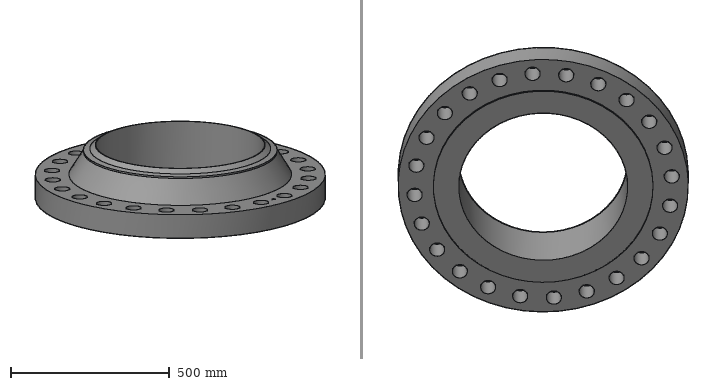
import cadquery as cq
import math

flange_diameter = 914.0
flange_thickness = 78.0
face_diameter = 692.0
face_height = 6.0

overall_height = 181.0
hub_base_diameter = 702.0
rim_diameter = 611.0
rim_bottom_height = 159.0
rim_height = 5.5
bevel_base_diameter = 570.0
bevel_base_height = 168.0
bore_diameter = 532.0
land_width = 2.0

bolt_count = 24
bolt_circle_diameter = 813.0
bolt_hole_diameter = 47.5

pin_hole_diameter = 11.0
pin_hole_depth = 18.0

flange_top = face_height + flange_thickness
bolt_pitch = 360 / bolt_count


def radial_outline():
    """Ring cross-section in the XZ plane, X being the radius."""
    bore_radius = bore_diameter / 2
    points = [
        (bore_radius, 0),
        (face_diameter / 2, 0),
        (face_diameter / 2, face_height),
        (flange_diameter / 2, face_height),
        (flange_diameter / 2, flange_top),
        (hub_base_diameter / 2, flange_top),
        (rim_diameter / 2, rim_bottom_height),
        (rim_diameter / 2, rim_bottom_height + rim_height),
        (bevel_base_diameter / 2, bevel_base_height),
        (bore_radius + land_width, overall_height),
        (bore_radius, overall_height),
    ]
    return cq.Workplane("XZ").polyline(points).close()


def bolt_hole_cutters():
    return (
        cq.Workplane("XY")
        .polarArray(bolt_circle_diameter / 2, 0, 360, bolt_count)
        .circle(bolt_hole_diameter / 2)
        .extrude(flange_top)
    )


def pin_hole_cutter():
    angle = math.radians(bolt_pitch / 2)
    radius = bolt_circle_diameter / 2
    return (
        cq.Workplane("XY", origin=(0, 0, flange_top))
        .center(radius * math.cos(angle), radius * math.sin(angle))
        .circle(pin_hole_diameter / 2)
        .extrude(-pin_hole_depth)
    )


body = radial_outline().revolve(360, (0, 0, 0), (0, 1, 0))
result = body.cut(bolt_hole_cutters()).cut(pin_hole_cutter())